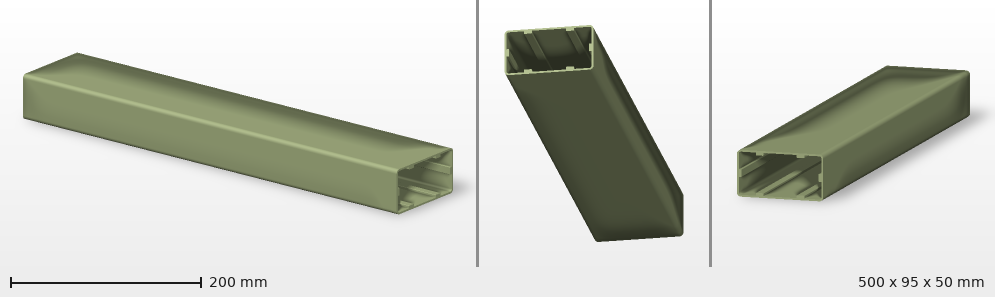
import cadquery as cq

length = 500.0
width = 95.0
height = 50.0
wall = 2.0
outer_radius = 4.5
inner_radius = outer_radius - wall

rib_width = 8.3
rib_projection = 3.0
rib_edge_radius = 0.5
rib_spacing = 45.0


def rounded_bar(size_y, size_z, radius):
    """Full-length bar centred on the X axis, with rounded long edges."""
    return cq.Workplane("XY").box(length, size_y, size_z).edges("|X").fillet(radius)


def make_tube():
    outside = rounded_bar(width, height, outer_radius)
    inside = rounded_bar(width - 2 * wall, height - 2 * wall, inner_radius)
    return outside.cut(inside)


def rib(outer_span, offset, turn):
    """Rib on the floor of a tube outer_span high, then turned about the X axis.

    It starts at mid-wall, so that it fuses fully with the wall.
    """
    depth = rib_projection + wall / 2
    center_z = -outer_span / 2 + wall / 2 + depth / 2
    bar = cq.Workplane("XY").box(length, rib_width, depth)
    bar = bar.faces(">Z").edges("|X").fillet(rib_edge_radius)
    return bar.translate((0, offset, center_z)).rotate((0, 0, 0), (1, 0, 0), turn)


def add_ribs(body):
    for half_turn in (0, 180):
        for side in (-1, 1):
            body = body.union(rib(height, side * rib_spacing / 2, half_turn))
        body = body.union(rib(width, 0, half_turn + 90))
    return body


result = add_ribs(make_tube())